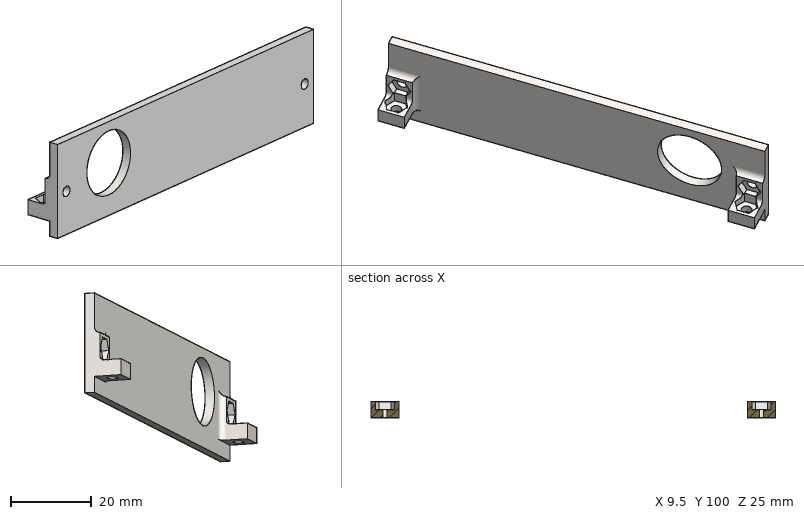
import cadquery as cq
import math

plate_thickness = 2.5
plate_length = 100
plate_height = 25
window_diameter = 17
window_y = 20
window_z = 14

bracket_depth = 7
bracket_width = 7
bracket_bottom = 4
ledge_thickness = 4
pad_height = 11
pad_thickness = 1.5
ledge_fillet = 1

screw_diameter = 2.7
nut_across_flats = 5.2
ledge_pocket_depth = 2
pad_pocket_depth = 2
ledge_hole_x = 3.5
pad_hole_z = 11.5

plate_front = bracket_depth
plate_back = plate_front + plate_thickness
pad_front = plate_front - pad_thickness
ledge_top = bracket_bottom + ledge_thickness
pad_top = bracket_bottom + pad_height
hole_y = bracket_width / 2
nut_across_corners = nut_across_flats / math.cos(math.pi / 6)


def block(x_range, y_range, z_range):
    """Axis-aligned box between the given limits."""
    sizes = [high - low for low, high in (x_range, y_range, z_range)]
    corner = (x_range[0], y_range[0], z_range[0])
    return cq.Workplane("XY").box(*sizes, centered=False).translate(corner)


def make_plate():
    plate = block((plate_front, plate_back), (0, plate_length), (0, plate_height))
    window = (
        cq.Workplane("YZ", origin=(plate_front, window_y, window_z))
        .circle(window_diameter / 2)
        .extrude(plate_thickness)
    )
    return plate.cut(window)


def make_pad():
    """Raised pad whose top and inner sides sweep into the plate with concave fillets."""
    flare_side = bracket_width + pad_thickness
    flare_top = pad_top + pad_thickness
    pad = block((pad_front, plate_front), (0, flare_side), (bracket_bottom, flare_top))
    top_sweep = (
        cq.Workplane("XZ", origin=(pad_front, 0, flare_top))
        .circle(pad_thickness)
        .extrude(-flare_side)
    )
    side_sweep = (
        cq.Workplane("XY", origin=(pad_front, flare_side, bracket_bottom))
        .circle(pad_thickness)
        .extrude(flare_top - bracket_bottom)
    )
    return pad.cut(top_sweep).cut(side_sweep)


def make_ledge():
    """Horizontal ledge with a concave fillet where it meets the pad."""
    fillet_start = (pad_front - ledge_fillet, ledge_top)
    fillet_end = (pad_front, ledge_top + ledge_fillet)
    fillet_inset = ledge_fillet * (1 - math.sqrt(0.5))
    fillet_middle = (pad_front - fillet_inset, ledge_top + fillet_inset)
    return (
        cq.Workplane("XZ")
        .moveTo(0, bracket_bottom)
        .lineTo(0, ledge_top)
        .lineTo(*fillet_start)
        .threePointArc(fillet_middle, fillet_end)
        .lineTo(plate_front, ledge_top + ledge_fillet)
        .lineTo(plate_front, bracket_bottom)
        .close()
        .extrude(-bracket_width)
    )


def make_ledge_cutter():
    """Vertical screw hole and nut pocket, with hexagon corners along Y."""
    screw = (
        cq.Workplane("XY", origin=(ledge_hole_x, hole_y, bracket_bottom))
        .circle(screw_diameter / 2)
        .extrude(ledge_thickness)
    )
    nut = (
        cq.Workplane("XY", origin=(ledge_hole_x, hole_y, ledge_top - ledge_pocket_depth))
        .transformed(rotate=(0, 0, 90))
        .polygon(6, nut_across_corners)
        .extrude(ledge_pocket_depth + ledge_fillet)
    )
    return screw.union(nut)


def make_pad_cutter():
    """Horizontal screw hole through the plate and nut pocket, with hexagon corners along Y."""
    screw = (
        cq.Workplane("YZ", origin=(pad_front, hole_y, pad_hole_z))
        .circle(screw_diameter / 2)
        .extrude(plate_back - pad_front)
    )
    nut = (
        cq.Workplane("YZ", origin=(pad_front - ledge_fillet, hole_y, pad_hole_z))
        .polygon(6, nut_across_corners)
        .extrude(ledge_fillet + pad_pocket_depth)
    )
    return screw.union(nut)


def mirror_to_far_end(shape):
    return shape.mirror("XZ", (0, plate_length / 2, 0))


bracket = make_pad().union(make_ledge())
cutter = make_ledge_cutter().union(make_pad_cutter())

result = make_plate().union(bracket).union(mirror_to_far_end(bracket))
result = result.cut(cutter).cut(mirror_to_far_end(cutter))